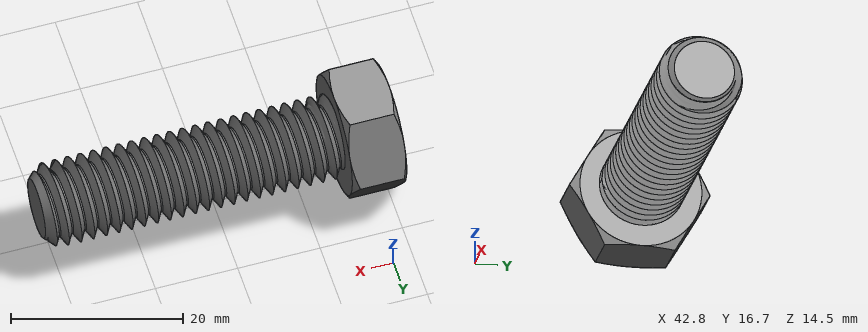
import cadquery as cq
import math

bolt_axis = ((0, 0, 0), (1, 0, 0))

across_flats = 14.46
hexagon_sides = 6
across_corners = across_flats / math.cos(math.pi / hexagon_sides)
head_height = 6.63
head_chamfer_angle = 30

overall_length = 42.77
shank_length = overall_length - head_height
major_radius = 5.02
root_radius = 3.85
pitch = 1.5485
flank_angle = 30
first_crest_offset = 0.79

tip_radius = 3.57

ridge_embed = 0.1

thread_overrun = 2 * pitch


def hexagon_head():
    """Hexagonal prism whose corners are turned off conically at both ends."""
    prism = cq.Workplane("YZ").polygon(hexagon_sides, across_corners).extrude(head_height)
    face_radius = across_flats / 2
    corner_radius = across_corners / 2
    chamfer_depth = (corner_radius - face_radius) * math.tan(math.radians(head_chamfer_angle))
    turned_blank = (
        cq.Workplane("XZ")
        .polyline([
            (0, 0),
            (0, face_radius),
            (chamfer_depth, corner_radius),
            (head_height - chamfer_depth, corner_radius),
            (head_height, face_radius),
            (head_height, 0),
        ])
        .close()
        .revolve(360, *bolt_axis)
    )
    return prism.intersect(turned_blank)


def thread_ridge():
    """Right-handed V-shaped ridge, from inside the head to beyond the tip."""
    base_radius = root_radius - ridge_embed
    half_width = (major_radius - base_radius) * math.tan(math.radians(flank_angle))
    turns = math.ceil((shank_length + 2 * thread_overrun) / pitch)
    height = turns * pitch

    def helix(radius, offset):
        return cq.Wire.makeHelix(pitch, height, radius).translate(cq.Vector(0, 0, offset))

    crest = helix(major_radius, 0)
    lower_base = helix(base_radius, -half_width)
    upper_base = helix(base_radius, half_width)

    def end_cap(z):
        return cq.Face.makeFromWires(cq.Wire.makePolygon([
            cq.Vector(base_radius, 0, z - half_width),
            cq.Vector(major_radius, 0, z),
            cq.Vector(base_radius, 0, z + half_width),
        ], close=True))

    faces = [
        cq.Face.makeRuledSurface(lower_base, crest),
        cq.Face.makeRuledSurface(crest, upper_base),
        cq.Face.makeRuledSurface(upper_base, lower_base),
        end_cap(0),
        end_cap(height),
    ]
    ridge = cq.Solid.makeSolid(cq.Shell.makeShell(faces))
    start = head_height + first_crest_offset - thread_overrun
    along_x = ridge.rotate(cq.Vector(0, 0, 0), cq.Vector(0, 1, 0), 90)
    return cq.Workplane(along_x.translate(cq.Vector(start, 0, 0)))


def threaded_shank():
    """Threaded rod trimmed to the shank's length and chamfered tip."""
    rod_overrun = 3 * thread_overrun
    core = (
        cq.Workplane("YZ", origin=(head_height - rod_overrun, 0, 0))
        .circle(root_radius)
        .extrude(shank_length + 2 * rod_overrun)
    )
    envelope_radius = major_radius + pitch
    cone_length = envelope_radius - tip_radius
    envelope = (
        cq.Workplane("XZ")
        .polyline([
            (head_height, 0),
            (head_height, envelope_radius),
            (overall_length - cone_length, envelope_radius),
            (overall_length, tip_radius),
            (overall_length, 0),
        ])
        .close()
        .revolve(360, *bolt_axis)
    )
    return core.union(thread_ridge()).intersect(envelope)


result = hexagon_head().union(threaded_shank())